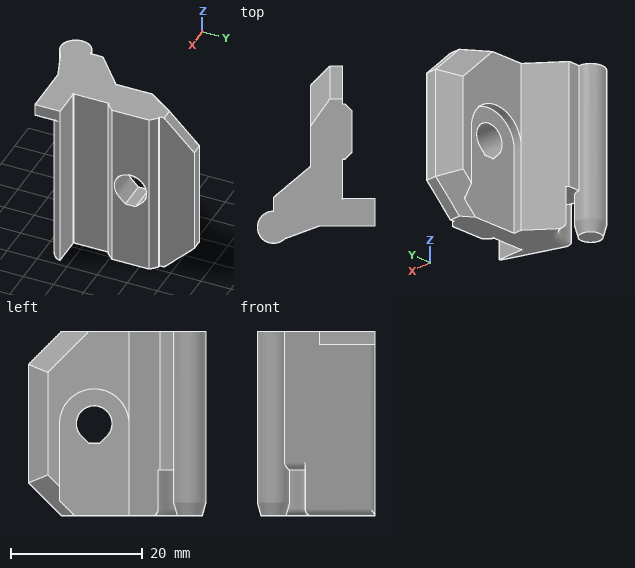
import cadquery as cq
import math

height = 28.0
pin_radius = 4.9 / 2
pin_tip_radius = 1.9
pin_tip_height = 2.0

plate_left = 5.6
plate_right = 10.5
plate_end = 24.47
plate_corner = 5.0
plate_bevel = 2.95
pad_thickness = 1.43
pad_start = 10.3
pad_end = 18.7
pad_bevel = 1.1

web_start = 4.55
web_end = 9.25
arm_length = 12.95
arm_end = arm_length + pin_radius
arm_back = 4.37
arm_front = 0.17
flank_start = 6.95
flank_angle = 20.25
cap_thickness = 2.0

relief_radius = 4.85
relief_height = 7.0
edge_round = 1.0

hole_y = 14.5
hole_z = height / 2
hole_radius = 2.7
hole_flat_drop = 2.95
pocket_radius = 5.25
pocket_depth = 1.5

corner_relief_diameter = 0.1


def flank_y(x):
    """Y of the slanted front flank at a given X."""
    return arm_front + (x - flank_start) * math.tan(math.radians(flank_angle))


def make_plate():
    """Plate with cut corners, bevelled along the three free edges of its -X face."""
    blank = (
        cq.Workplane("XY")
        .box(plate_right - plate_left, plate_end - web_end, height, centered=False)
        .translate((plate_left, web_end, 0))
        .edges("|X and >Y")
        .chamfer(plate_corner)
    )
    face_edges = blank.faces("<X").edges()
    end_edge = face_edges.edges(">Y")
    corner_edges = face_edges.filter(lambda e: abs(e.tangentAt(0).y * e.tangentAt(0).z) > 0.1)
    return end_edge.add(corner_edges).chamfer(plate_bevel)


def make_pad():
    return (
        cq.Workplane("XY")
        .box(pad_thickness, pad_end - pad_start, height, centered=False)
        .translate((plate_right, pad_start, 0))
        .edges("|Z and >X")
        .chamfer(pad_bevel)
    )


def make_web_and_arm():
    """Web and tapered arm, cleared around the pin and rounded on the lower edges."""
    outline = [
        (0, flank_y(0)),
        (arm_end, flank_y(arm_end)),
        (arm_end, arm_back),
        (plate_right, arm_back),
        (plate_right, web_end),
        (plate_left, web_end),
        (0, web_start),
    ]
    clearance = cq.Workplane("XY").circle(relief_radius).extrude(relief_height)
    blank = cq.Workplane("XY").polyline(outline).close().extrude(height).cut(clearance)
    flank_direction = cq.Vector(1, math.tan(math.radians(flank_angle)), 0).normalized()

    def is_rounded(edge):
        middle = edge.Center()
        on_flank = abs(middle.y - flank_y(middle.x)) < 0.003
        along_flank = on_flank and abs(edge.tangentAt(0).dot(flank_direction)) > 0.99
        lower_flank = along_flank and middle.z < height / 2
        arm_corner = on_flank and middle.x > arm_end - 0.003
        relief_rim = edge.geomType() == "CIRCLE" and middle.z < 0.003
        return lower_flank or arm_corner or relief_rim

    return blank.edges().filter(is_rounded).fillet(edge_round)


def make_cap():
    """Square-fronted slab along the top of the arm."""
    return (
        cq.Workplane("XY")
        .box(arm_end - flank_start, arm_back - arm_front, cap_thickness, centered=False)
        .translate((flank_start, arm_front, height - cap_thickness))
    )


def make_pin():
    profile = [
        (0, 0),
        (pin_tip_radius, 0),
        (pin_radius, pin_tip_height),
        (pin_radius, height),
        (0, height),
    ]
    return cq.Workplane("XZ").polyline(profile).close().revolve(360, (0, 0, 0), (0, 1, 0))


def make_screw_cut():
    """Through hole with a 45 degree flat-bottomed drop, and the pocket open to the underside."""
    hole_frame = cq.Workplane("YZ", origin=(plate_left, hole_y, hole_z))
    length = plate_right + pad_thickness - plate_left
    tangent = hole_radius / math.sqrt(2)
    flat_half_width = hole_radius * math.sqrt(2) - hole_flat_drop
    drop_outline = [
        (-tangent, -tangent),
        (-flat_half_width, -hole_flat_drop),
        (flat_half_width, -hole_flat_drop),
        (tangent, -tangent),
        (0, 0),
    ]
    hole = hole_frame.circle(hole_radius).extrude(length)
    drop = hole_frame.polyline(drop_outline).close().extrude(length)
    pocket = (
        hole_frame.moveTo(-pocket_radius, -hole_z)
        .lineTo(-pocket_radius, 0)
        .threePointArc((0, pocket_radius), (pocket_radius, 0))
        .lineTo(pocket_radius, -hole_z)
        .close()
        .extrude(pocket_depth)
    )
    return hole.union(drop).union(pocket)


corner_relief = (
    cq.Workplane("XY")
    .center(plate_right, arm_back)
    .circle(corner_relief_diameter / 2)
    .extrude(height)
)

result = (
    make_plate()
    .union(make_web_and_arm())
    .union(make_pad())
    .union(make_cap())
    .union(make_pin())
    .cut(make_screw_cut())
    .cut(corner_relief)
)